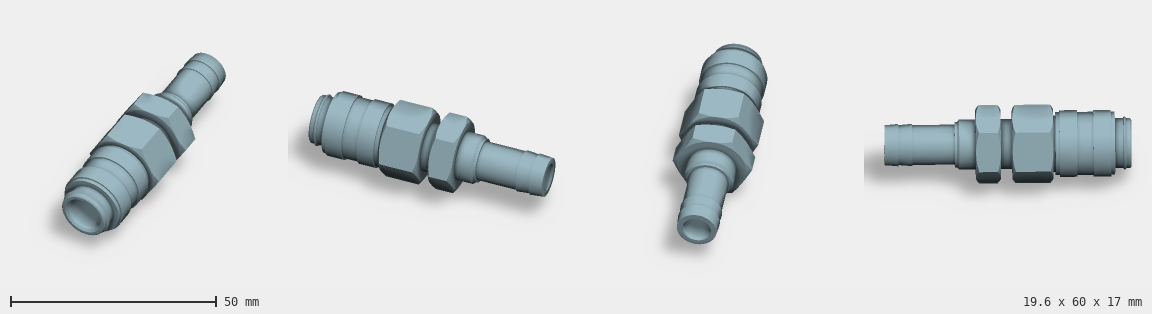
import cadquery as cq
import math

overall_length = 60.0

across_flats = 17.0
across_corners = across_flats / math.cos(math.pi / 6)
corner_chamfer_angle = math.radians(30)

nose_radius = 6.05
nose_chamfer = 0.3
bead_crest_y = 1.55
bead_height = 0.4

sleeve_start_y = 4.0
sleeve_length = 14.45
sleeve_radius = 7.7
band_radius = 8.1
band_length = 4.25
band_starts_y = (5.0, 13.2)

neck_radius = 6.85
hex_start_y = 19.0
hex_length = 9.95
hex_end_y = hex_start_y + hex_length

shank_radius = 6.05
shank_end_y = 41.9
nut_start_y = 31.8
nut_length = 6.05

collar_radius = 5.5
collar_taper_length = 0.55
collar_length = 0.55

tail_radius = 4.85
barb_radius = 5.15
barb_length = 3.35
barb_count = 2

socket_bore_radius = 4.45
mouth_radius = 5.0
mouth_depth = 0.55
socket_depth = hex_start_y
through_bore_radius = 3.55


def cylinder(radius, start_y, length):
    """Solid cylinder about the Y axis, running toward +Y."""
    return cq.Workplane("XZ", origin=(0, start_y, 0)).circle(radius).extrude(-length)


def cone(start_radius, end_radius, start_y, length):
    """Solid truncated cone about the Y axis, running toward +Y."""
    outline = cq.Workplane("XY").polyline([
        (0, start_y),
        (start_radius, start_y),
        (end_radius, start_y + length),
        (0, start_y + length),
    ]).close()
    return outline.revolve(360, (0, 0, 0), (0, 1, 0))


def hexagon(start_y, length):
    """Hexagonal prism with corners on the X axis and conical chamfers at both ends."""
    prism = (
        cq.Workplane("XZ", origin=(0, start_y, 0))
        .polygon(6, across_corners)
        .extrude(-length)
    )
    face_radius = across_flats / 2
    corner_radius = across_corners / 2
    chamfer_length = (corner_radius - face_radius) * math.tan(corner_chamfer_angle)
    end_y = start_y + length
    envelope = (
        cq.Workplane("XY")
        .polyline([
            (0, start_y),
            (face_radius, start_y),
            (corner_radius, start_y + chamfer_length),
            (corner_radius, end_y - chamfer_length),
            (face_radius, end_y),
            (0, end_y),
        ])
        .close()
        .revolve(360, (0, 0, 0), (0, 1, 0))
    )
    return prism.intersect(envelope)


def make_nose():
    """Socket nose with a chamfered rim and a retaining bead, sloped in front and quarter-round behind."""
    tip = cone(nose_radius - nose_chamfer, nose_radius, 0, nose_chamfer)
    barrel = cylinder(nose_radius, nose_chamfer, sleeve_start_y - nose_chamfer)
    crest_radius = nose_radius + bead_height
    round_offset = bead_height * math.sin(math.pi / 4)
    bead = (
        cq.Workplane("XY")
        .moveTo(0, bead_crest_y - bead_height)
        .lineTo(nose_radius, bead_crest_y - bead_height)
        .lineTo(crest_radius, bead_crest_y)
        .threePointArc(
            (nose_radius + round_offset, bead_crest_y + round_offset),
            (nose_radius, bead_crest_y + bead_height),
        )
        .lineTo(0, bead_crest_y + bead_height)
        .close()
        .revolve(360, (0, 0, 0), (0, 1, 0))
    )
    return tip.union(barrel).union(bead)


def make_sleeve():
    """Barrel with two raised bands, and the neck that joins it to the hexagon."""
    sleeve_end_y = sleeve_start_y + sleeve_length
    sleeve = cylinder(sleeve_radius, sleeve_start_y, sleeve_length)
    for band_start_y in band_starts_y:
        sleeve = sleeve.union(cylinder(band_radius, band_start_y, band_length))
    return sleeve.union(cylinder(neck_radius, sleeve_end_y, hex_start_y - sleeve_end_y))


def make_shank():
    """Plain shank, tapering into its collar."""
    collar_start_y = shank_end_y + collar_taper_length
    shank = cylinder(shank_radius, hex_end_y, shank_end_y - hex_end_y)
    taper = cone(shank_radius, collar_radius, shank_end_y, collar_taper_length)
    collar = cylinder(collar_radius, collar_start_y, collar_length)
    return shank.union(taper).union(collar)


def make_hose_tail():
    """Plain tail with barbs that taper toward the hose end."""
    tail_start_y = shank_end_y + collar_taper_length + collar_length
    tail = cylinder(tail_radius, tail_start_y, overall_length - tail_start_y)
    for index in range(barb_count):
        barb_start_y = overall_length - (index + 1) * barb_length
        tail = tail.union(cone(barb_radius, tail_radius, barb_start_y, barb_length))
    return tail


def make_bores():
    """Chamfered socket bore followed by the smaller through bore."""
    mouth = cone(mouth_radius, socket_bore_radius, 0, mouth_depth)
    socket = cylinder(socket_bore_radius, 0, socket_depth)
    through = cylinder(through_bore_radius, 0, overall_length)
    return mouth.union(socket).union(through)


def make_coupling():
    """Complete coupling body, from socket nose to hose tail."""
    outside = (
        make_nose()
        .union(make_sleeve())
        .union(hexagon(hex_start_y, hex_length))
        .union(make_shank())
        .union(make_hose_tail())
    )
    return outside.cut(make_bores())


def make_locknut():
    """Hexagonal locknut that fits closely around the shank."""
    return hexagon(nut_start_y, nut_length).cut(cylinder(shank_radius, nut_start_y, nut_length))


coupling = make_coupling()
locknut = make_locknut()

result = cq.Compound.makeCompound([*coupling.solids().vals(), *locknut.solids().vals()])